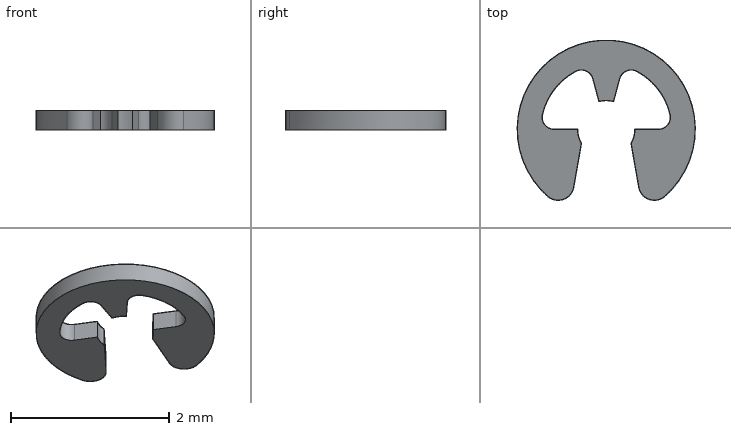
import cadquery as cq
import math

rim_radius = 1.125
thickness = 0.25
bore_radius = 0.36
pocket_radius = 0.825
pocket_corner_radius = 0.15
lug_half_angle = 15.0
mouth_half_width = 0.312
mouth_flare_angle = 10.0
prong_tip_radius = 0.2


def polar_point(radius, angle):
    """Point at a radius and an angle in degrees from +X."""
    return (radius * math.cos(math.radians(angle)), radius * math.sin(math.radians(angle)))


def relief_pocket():
    """Sector on the +X side, from the X axis up to the middle lug, rounded at its outer corners."""
    pocket_angle = 90.0 - lug_half_angle
    sector = (
        cq.Workplane("XY")
        .lineTo(pocket_radius, 0)
        .threePointArc(
            polar_point(pocket_radius, pocket_angle / 2),
            polar_point(pocket_radius, pocket_angle),
        )
        .close()
        .extrude(thickness)
    )
    return sector.edges("|Z").edges(">X or >Y").fillet(pocket_corner_radius)


def mouth():
    """Opening from the bore to the rim, straight inside the bore and flaring outwards below it."""
    throat_y = -math.sqrt(bore_radius**2 - mouth_half_width**2)
    flare_length = rim_radius + throat_y
    outer_half_width = mouth_half_width + flare_length * math.tan(math.radians(mouth_flare_angle))
    outline = [
        (-mouth_half_width, 0),
        (-mouth_half_width, throat_y),
        (-outer_half_width, -rim_radius),
        (outer_half_width, -rim_radius),
        (mouth_half_width, throat_y),
        (mouth_half_width, 0),
    ]
    return cq.Workplane("XY").polyline(outline).close().extrude(thickness)


ring = cq.Workplane("XY").circle(rim_radius).circle(bore_radius).extrude(thickness)

ring = ring.cut(mouth())
ring = ring.edges("|Z").edges("<Y").fillet(prong_tip_radius)

right_pocket = relief_pocket()
left_pocket = right_pocket.mirror("YZ")
result = ring.cut(right_pocket).cut(left_pocket)